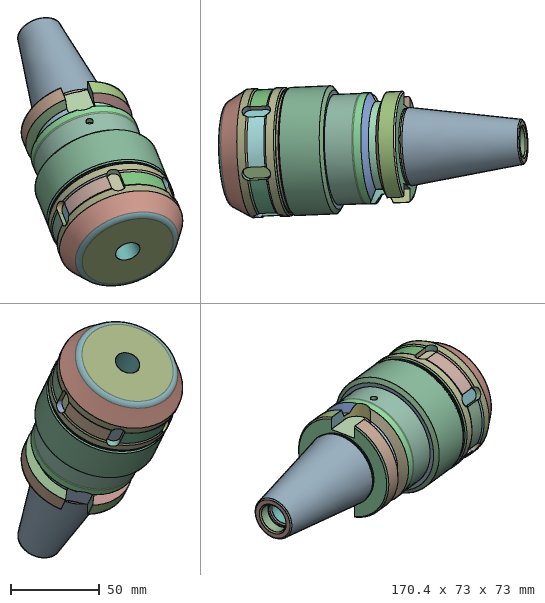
import cadquery as cq
import math


gauge_x = 65.3
gauge_radius = 44.5 / 2
taper_slope = 7 / 48
tip_chamfer = 0.7
neck_radius = 43.5 / 2
neck_x = 66.5

flange_x = 67.3
flange_end_x = 77.0
flange_radius = 31.5
flange_chamfer = 0.9
groove_radius = 26.4
groove_start_x = 79.5
groove_end_x = 83.8
ring_x = 87.0
ring_end_x = 91.5

body_neck_radius = 62.5 / 2
body_neck_x = 92.4
body_x = 108.2
body_start_radius = 33.7
body_radius = 36.3
body_chamfer = 1.9
body_end_x = 134.1
rim_chamfer = 0.9
relief_radius = 34.8

nut_x = 135.6
nut_radius = 36.5
band_radius = 35.8
band_slope_length = 1.0
band_x = 142.3
band_end_x = 152.0
nose_x = 157.8
nose_angle = math.radians(30)
nose_round = 4.0
length = 170.4

slot_count = 6
slot_first_angle = 30
slot_x = 139.4
slot_end_x = 155.7
slot_width = 7.7
slot_floor_radius = 32.5

keyway_width = 16.0
keyway_end_x = 88.5
keyway_floor = 22.7

bore_radius = 7.2
thread_radius = 8.0
counterbore_radius = 8.5
counterbore_depth = 7.0
thread_relief_length = 1.2
mouth_radius = 9.4

screw_x = 97.1
screw_diameter = 4.0
screw_depth = 3.4

over = 1.7


def revolve_about_axis(profile):
    return profile.close().revolve(360, (0, 0, 0), (1, 0, 0))


def outer_body():
    tip_radius = gauge_radius - gauge_x * taper_slope
    corner_radius = nut_radius - (length - nose_x) * math.tan(nose_angle)

    mid_angle = (math.pi / 2 - nose_angle) / 2
    tangent = nose_round * math.tan(mid_angle)
    round_start = (length - tangent * math.cos(nose_angle), corner_radius + tangent * math.sin(nose_angle))
    round_end = (length, corner_radius - tangent)
    center = (length - nose_round, corner_radius - tangent)
    round_mid = (center[0] + nose_round * math.cos(mid_angle), center[1] + nose_round * math.sin(mid_angle))

    profile = (
        cq.Workplane("XY")
        .moveTo(0, 0)
        .lineTo(0, tip_radius - tip_chamfer)
        .lineTo(tip_chamfer, tip_radius + tip_chamfer * taper_slope)
        .lineTo(gauge_x, gauge_radius)
        .lineTo(neck_x, neck_radius)
        .lineTo(flange_x, neck_radius)
        .lineTo(flange_x, flange_radius - flange_chamfer)
        .lineTo(flange_x + flange_chamfer, flange_radius)
        .lineTo(flange_end_x, flange_radius)
        .lineTo(groove_start_x, groove_radius)
        .lineTo(groove_end_x, groove_radius)
        .lineTo(ring_x, flange_radius)
        .lineTo(ring_end_x, flange_radius)
        .lineTo(body_neck_x, body_neck_radius)
        .lineTo(body_x, body_neck_radius)
        .lineTo(body_x, body_start_radius)
        .lineTo(body_x + body_chamfer, body_radius)
        .lineTo(body_end_x - rim_chamfer, body_radius)
        .lineTo(body_end_x, body_radius - rim_chamfer)
        .lineTo(body_end_x, relief_radius)
        .lineTo(nut_x, relief_radius)
        .lineTo(nut_x, nut_radius - rim_chamfer)
        .lineTo(nut_x + rim_chamfer, nut_radius)
        .lineTo(band_x - band_slope_length, nut_radius)
        .lineTo(band_x, band_radius)
        .lineTo(band_end_x, band_radius)
        .lineTo(band_end_x + band_slope_length, nut_radius)
        .lineTo(nose_x, nut_radius)
        .lineTo(*round_start)
        .threePointArc(round_mid, round_end)
        .lineTo(length, 0)
    )
    return revolve_about_axis(profile)


def axial_bore():
    mouth_chamfer = mouth_radius - counterbore_radius
    thread_chamfer = thread_radius - bore_radius
    thread_start_x = counterbore_depth + thread_relief_length
    profile = (
        cq.Workplane("XY")
        .moveTo(0, 0)
        .lineTo(0, mouth_radius)
        .lineTo(mouth_chamfer, counterbore_radius)
        .lineTo(counterbore_depth, counterbore_radius)
        .lineTo(counterbore_depth, thread_radius)
        .lineTo(thread_start_x, thread_radius)
        .lineTo(thread_start_x + thread_chamfer, bore_radius)
        .lineTo(length, bore_radius)
        .lineTo(length, 0)
    )
    return revolve_about_axis(profile)


def wrench_slot(angle):
    """Round-ended flat-bottomed slot; angle is measured about X from +Y towards +Z."""
    return (
        cq.Workplane("XY", origin=((slot_x + slot_end_x) / 2, 0, slot_floor_radius))
        .slot2D(slot_end_x - slot_x, slot_width)
        .extrude(nut_radius - slot_floor_radius + over)
        .rotate((0, 0, 0), (1, 0, 0), angle - 90)
    )


def keyway():
    """Flat-bottomed keyway on the +Z side, open towards the shank, with a round far end."""
    half_width = keyway_width / 2
    start_x = flange_x - over
    straight_end_x = keyway_end_x - half_width
    return (
        cq.Workplane("XY", origin=(0, 0, keyway_floor))
        .moveTo(start_x, -half_width)
        .lineTo(straight_end_x, -half_width)
        .threePointArc((keyway_end_x, 0), (straight_end_x, half_width))
        .lineTo(start_x, half_width)
        .close()
        .extrude(flange_radius - keyway_floor + over)
    )


def screw_hole():
    return (
        cq.Workplane("XY", origin=(screw_x, 0, body_neck_radius - screw_depth))
        .circle(screw_diameter / 2)
        .extrude(screw_depth + over)
    )


result = outer_body().cut(axial_bore())

for index in range(slot_count):
    result = result.cut(wrench_slot(slot_first_angle + index * 360 / slot_count))

for side_angle in (0, 180):
    result = result.cut(keyway().rotate((0, 0, 0), (1, 0, 0), side_angle))

result = result.cut(screw_hole())